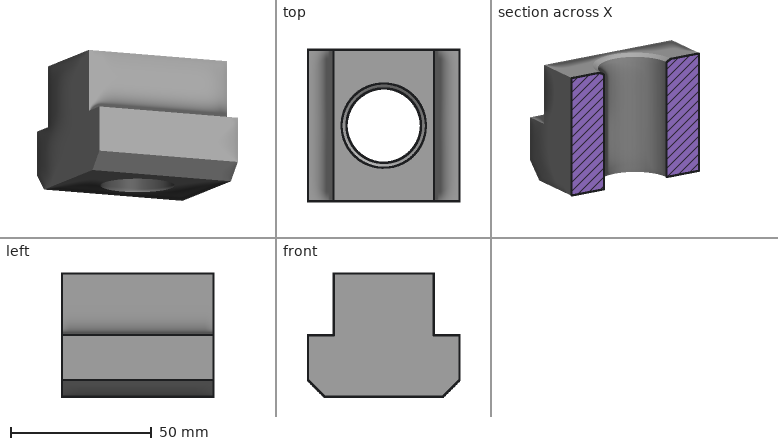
import cadquery as cq
import math

base_width = 54.0
length = 54.0
height = 44.0
base_height = 22.0
neck_width = 35.6
bottom_chamfer = 6.0

bore_diameter = 26.4
lead_in_diameter = 30.0
lead_in_cone_angle = 120.0
lead_in_width = (lead_in_diameter - bore_diameter) / 2
lead_in_depth = lead_in_width / math.tan(math.radians(lead_in_cone_angle / 2))


def make_body():
    """T-shaped profile, centred in X and Y, standing on Z = 0."""
    half_base = base_width / 2
    half_neck = neck_width / 2
    half_bottom = half_base - bottom_chamfer
    right_side = [
        (half_bottom, 0),
        (half_base, bottom_chamfer),
        (half_base, base_height),
        (half_neck, base_height),
        (half_neck, height),
    ]
    left_side = [(-x, z) for x, z in reversed(right_side)]
    profile = cq.Workplane("XZ").polyline(right_side + left_side).close()
    return profile.extrude(length / 2, both=True)


def make_bore():
    """Solid of revolution about Z that fills the bore and its lead-in."""
    bore_radius = bore_diameter / 2
    half_section = [
        (0, 0),
        (bore_radius, 0),
        (bore_radius, height - lead_in_depth),
        (lead_in_diameter / 2, height),
        (0, height),
    ]
    section = cq.Workplane("XZ").polyline(half_section).close()
    return section.revolve(360, (0, 0), (0, 1))


result = make_body().cut(make_bore())